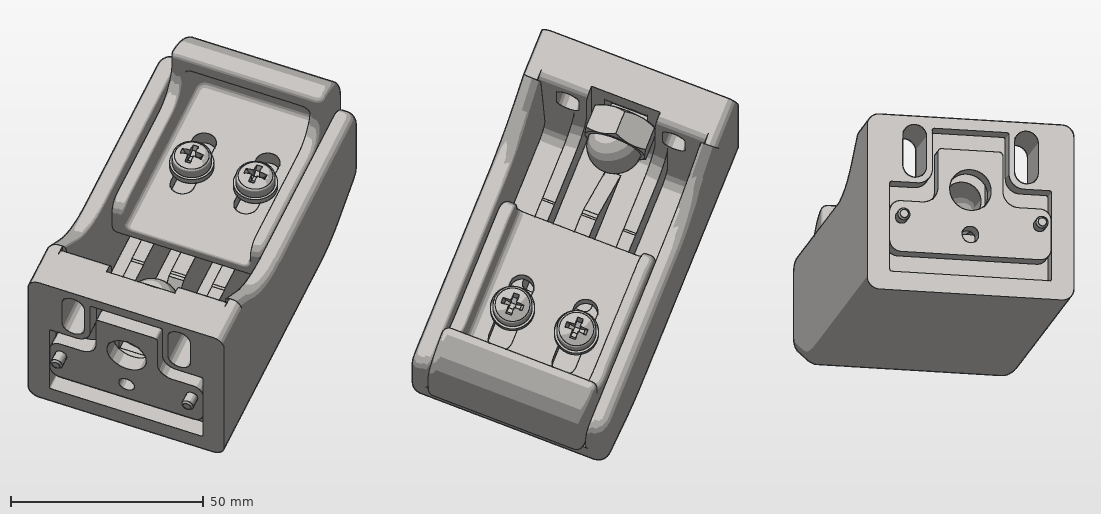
import cadquery as cq
import math


HOUSING_W = 55.0
HOUSING_L = 94.5
FRONT_H = 47.5
SIDE_H = 35.4
FRONT_WALL = 13.7
RAMP_ANGLE = math.radians(37.5)
RAMP_BLEND_R = 30.1
REAR_TOP_R = 5.0
CHIN_ANGLE = math.radians(26)
CHIN_BLEND_R = 30.1
CHIN_BLEND_START = 67.5
CHIN_REAR_R = 5.2
HOUSING_EDGE_R = 3.2

FLOOR_Z = 5.0
DECK_Z = 20.8
DECK_FRONT_Y = 60.5
CAVITY_FLOOR_W = 42.2
CAVITY_DRAFT = math.radians(1.7)
CAVITY_FLOOR_R = 5.0
CAVITY_EDGE_R = 1.0
FRONT_WALL_TOP_R = 2.9

CHANNEL_W = 19.2
CHANNEL_FRONT_Y = 10.0
CHANNEL_FRONT_R = 4.6
CHANNEL_REAR_R = 1.8
SIDE_RIB_W = 3.5
SIDE_RIB_R = 8.2
RIB_STEP_Y = 36.1
RIB_STEP_L = 0.6
RIB_STEP_H = 0.3
CENTER_RIB_W = 4.1
CENTER_RIB_RAMP_Y = 34.8
CENTER_RIB_RAMP_ANGLE = math.radians(44)

POCKET_W = 43.1
POCKET_BOTTOM_Z = 5.0
POCKET_SHOULDER_Z = 29.4
POCKET_TOP_Z = 44.5
POCKET_NECK_W = 20.4
POCKET_DEPTH = 4.6
POCKET_INNER_R = 3.9
POCKET_CORNER_R = 0.6
SIDE_SLOT_X = 14.9
SIDE_SLOT_W = 6.3
SIDE_SLOT_H = 14.3
SIDE_SLOT_Z = 38.1
BOLT_Z = 28.4
BOLT_WINDOW_W = 12.0
BOLT_WINDOW_H = 21.7

PLATE_FRONT_Y = 0.3
PLATE_W = 43.0
PLATE_BOTTOM_Z = 10.6
PLATE_SHOULDER_Z = 24.4
PLATE_TOP_Z = 39.2
PLATE_NECK_W = 17.3
PLATE_SIDE_R = 3.0
PLATE_NECK_CORNER_R = 1.0
PLATE_INNER_R = 4.2
PLATE_BOLT_R = 5.5
PLATE_HOLE_R = 2.2
PLATE_HOLE_Z = 16.4
PIN_X = 18.4
PIN_Z = 19.9
PIN_R = 1.6
PIN_TIP_Y = -3.3
PIN_CHAMFER = 0.5

NUT_FLATS = 16.7
NUT_HEX_L = 7.8
NUT_DOME_R = 7.3
NUT_BORE_R = 4.9

CRADLE_W = 43.2
CRADLE_FRONT_Y = 42.2
CRADLE_REAR_Y = 97.1
CRADLE_FLOOR = 4.1
CRADLE_SIDE_Z = 33.3
CRADLE_FRONT_R = 4.9
CRADLE_BOTTOM_FRONT_R = 2.0
CRADLE_BOTTOM_REAR_R = 4.8
LIP_FRONT_Y = 83.7
LIP_SWEEP_R = 7.9
LIP_TIP_R = 2.0
CROWN_R = 15.6
CROWN_TIP_ANGLE = math.radians(12)
CROWN_BACK_ANGLE = math.radians(50)
CRADLE_EDGE_R = 1.9
HOLLOW_W = 35.0
HOLLOW_REAR_Y = 93.9
HOLLOW_TOP_Z = 42.3
HOLLOW_TOP_R = 9.6
HOLLOW_CORNER_R = 2.2
HOLLOW_EDGE_R = 0.9
SCREW_X = 8.9
SCREW_Y = 67.8
CRADLE_SLOT_W = 6.4
CRADLE_SLOT_L = 21.4
CRADLE_SLOT_Y = 68.8

WASHER_R = 5.77
WASHER_T = 1.6
HEAD_R = 5.1
HEAD_H = 2.8
HEAD_EDGE_R = 0.6
DOME_H = 1.2
SHANK_R = 2.5
SHANK_END_Z = 10.0
CROSS_W = 1.5
CROSS_TOP_L = 6.4
CROSS_MID_L = 4.3
CROSS_MID_DEPTH = 1.8
CROSS_DEPTH = 2.6


def extrude_across(profile, x_min, x_max):
    """Extrude a closed outline drawn in the YZ plane from x_min to x_max."""
    return profile.extrude(x_max - x_min).translate((x_min, 0, 0))


def box(x_min, x_max, y_min, y_max, z_min, z_max):
    return cq.Workplane("XY").box(
        x_max - x_min, y_max - y_min, z_max - z_min, centered=False
    ).translate((x_min, y_min, z_min))


def housing_shell():
    """Solid side outline: high front, ramp down to low sides, sloping chin below the rear."""
    blend_rise = RAMP_BLEND_R * (1 - math.cos(RAMP_ANGLE))
    ramp_drop = FRONT_H - SIDE_H - blend_rise
    ramp_end_y = FRONT_WALL + ramp_drop / math.tan(RAMP_ANGLE)
    low_start_y = ramp_end_y + RAMP_BLEND_R * math.sin(RAMP_ANGLE)
    ramp_mid = (
        low_start_y - RAMP_BLEND_R * math.sin(RAMP_ANGLE / 2),
        SIDE_H + RAMP_BLEND_R * (1 - math.cos(RAMP_ANGLE / 2)),
    )
    chin_start = (
        CHIN_BLEND_START + CHIN_BLEND_R * math.sin(CHIN_ANGLE),
        CHIN_BLEND_R * (1 - math.cos(CHIN_ANGLE)),
    )
    chin_mid = (
        CHIN_BLEND_START + CHIN_BLEND_R * math.sin(CHIN_ANGLE / 2),
        CHIN_BLEND_R * (1 - math.cos(CHIN_ANGLE / 2)),
    )
    chin_end_z = chin_start[1] + (HOUSING_L - chin_start[0]) * math.tan(CHIN_ANGLE)
    outline = (
        cq.Workplane("YZ")
        .moveTo(0, 0)
        .lineTo(0, FRONT_H)
        .lineTo(FRONT_WALL, FRONT_H)
        .lineTo(ramp_end_y, SIDE_H + blend_rise)
        .threePointArc(ramp_mid, (low_start_y, SIDE_H))
        .lineTo(HOUSING_L, SIDE_H)
        .lineTo(HOUSING_L, chin_end_z)
        .lineTo(*chin_start)
        .threePointArc(chin_mid, (CHIN_BLEND_START, 0))
        .close()
    )
    half_w = HOUSING_W / 2
    shell = extrude_across(outline, -half_w, half_w)
    shell = shell.faces(">Y").edges(">Z").fillet(REAR_TOP_R)
    shell = shell.faces(">Y").edges("<Z").fillet(CHIN_REAR_R)
    return shell.faces("<X or >X").edges("not <Y").fillet(HOUSING_EDGE_R)


def cavity_half_width(z):
    return CAVITY_FLOOR_W / 2 + (z - FLOOR_Z) * math.tan(CAVITY_DRAFT)


def cavity(y_min, y_max, z_min):
    """Open-topped cutter whose side walls lean outwards."""
    top = FRONT_H + FLOOR_Z
    low, high = cavity_half_width(z_min), cavity_half_width(top)
    return (
        cq.Workplane("XZ", origin=(0, y_min, 0))
        .polyline([(-low, z_min), (low, z_min), (high, top), (-high, top)])
        .close()
        .extrude(y_min - y_max)
    )


def cavity_rim(side):
    """Selector for the upper inner edges of one side wall, from the front wall to the rear end."""
    rim_x = cavity_half_width(SIDE_H)
    reach = 0.6
    return cq.selectors.BoxSelector(
        (side * (rim_x - reach), FRONT_WALL + reach, DECK_Z + reach),
        (side * (rim_x + reach), HOUSING_L + reach, FRONT_H),
    )


def front_wall_rounding():
    """Cutter that rounds the rear top edge of the front wall between the side walls."""
    r = FRONT_WALL_TOP_R
    half_w = cavity_half_width(FRONT_H) + CAVITY_EDGE_R
    outline = (
        cq.Workplane("YZ")
        .moveTo(FRONT_WALL - r, FRONT_H)
        .radiusArc((FRONT_WALL, FRONT_H - r), r)
        .lineTo(FRONT_WALL, FRONT_H)
        .close()
    )
    return extrude_across(outline, -half_w, half_w)


def channel():
    """Central slot that takes the nut and runs back under the cradle."""
    half_w = CHANNEL_W / 2
    block = box(-half_w, half_w, CHANNEL_FRONT_Y, DECK_FRONT_Y, FLOOR_Z, FRONT_H + FLOOR_Z)
    block = block.edges("<Y and <Z").fillet(CHANNEL_FRONT_R)
    return block.edges("|Z and >Y").fillet(CHANNEL_REAR_R)


def rib_block():
    """Block the channel is cut into, leaving a rib on either side swept up into the front wall."""
    low_z = DECK_Z - RIB_STEP_H
    r = SIDE_RIB_R
    outline = (
        cq.Workplane("YZ")
        .moveTo(FRONT_WALL, FLOOR_Z)
        .lineTo(FRONT_WALL, low_z + r)
        .radiusArc((FRONT_WALL + r, low_z), -r)
        .lineTo(RIB_STEP_Y - RIB_STEP_L / 2, low_z)
        .lineTo(RIB_STEP_Y + RIB_STEP_L / 2, DECK_Z)
        .lineTo(DECK_FRONT_Y, DECK_Z)
        .lineTo(DECK_FRONT_Y, FLOOR_Z)
        .close()
    )
    half_w = CHANNEL_W / 2 + SIDE_RIB_W
    return extrude_across(outline, -half_w, half_w)


def center_rib():
    """Rib along the channel with a sloping nose towards the nut."""
    low_z = DECK_Z - RIB_STEP_H
    nose_y = CENTER_RIB_RAMP_Y - (low_z - FLOOR_Z) / math.tan(CENTER_RIB_RAMP_ANGLE)
    outline = (
        cq.Workplane("YZ")
        .polyline([
            (nose_y, FLOOR_Z),
            (CENTER_RIB_RAMP_Y, low_z),
            (RIB_STEP_Y - RIB_STEP_L / 2, low_z),
            (RIB_STEP_Y + RIB_STEP_L / 2, DECK_Z),
            (DECK_FRONT_Y, DECK_Z),
            (DECK_FRONT_Y, FLOOR_Z),
        ])
        .close()
    )
    return extrude_across(outline, -CENTER_RIB_W / 2, CENTER_RIB_W / 2)


def tee_block(y_min, y_max, width, neck_w, bottom_z, shoulder_z, top_z, side_r, neck_r, inner_r):
    """Upright inverted-tee block with rounded corners."""
    half_w, half_neck = width / 2, neck_w / 2
    block = (
        cq.Workplane("XZ", origin=(0, y_min, 0))
        .polyline([
            (-half_w, bottom_z),
            (half_w, bottom_z),
            (half_w, shoulder_z),
            (half_neck, shoulder_z),
            (half_neck, top_z),
            (-half_neck, top_z),
            (-half_neck, shoulder_z),
            (-half_w, shoulder_z),
        ])
        .close()
        .extrude(y_min - y_max)
    )
    block = block.edges("|Y and (<X or >X)").fillet(side_r)
    block = block.edges("|Y and >Z").fillet(neck_r)
    inner_corners = cq.selectors.BoxSelector(
        (-half_neck - 0.1, y_min - 1, shoulder_z - 0.1),
        (half_neck + 0.1, y_max + 1, shoulder_z + 0.1),
    )
    return block.edges(inner_corners).fillet(inner_r)


def round_rod(x, y_min, y_max, z, r):
    """Round rod along Y."""
    return cq.Workplane("XZ", origin=(x, y_min, z)).circle(r).extrude(y_min - y_max)


def make_housing():
    body = housing_shell()
    full_depth = cavity(FRONT_WALL, DECK_FRONT_Y, FLOOR_Z)
    full_depth = full_depth.edges("<Y and <Z").fillet(CAVITY_FLOOR_R)
    above_deck = cavity(FRONT_WALL + CAVITY_FLOOR_R, HOUSING_L + 1, DECK_Z)
    body = body.cut(full_depth.union(above_deck))

    body = body.edges(cavity_rim(-1) + cavity_rim(1)).fillet(CAVITY_EDGE_R)

    body = body.cut(front_wall_rounding())
    body = body.union(rib_block()).cut(channel()).union(center_rib())

    pocket = tee_block(
        0, POCKET_DEPTH, POCKET_W, POCKET_NECK_W, POCKET_BOTTOM_Z, POCKET_SHOULDER_Z,
        POCKET_TOP_Z, POCKET_CORNER_R, POCKET_CORNER_R, POCKET_INNER_R,
    )
    side_slots = (
        cq.Workplane("XZ")
        .pushPoints([(-SIDE_SLOT_X, SIDE_SLOT_Z), (SIDE_SLOT_X, SIDE_SLOT_Z)])
        .slot2D(SIDE_SLOT_H, SIDE_SLOT_W, 90)
        .extrude(-FRONT_WALL)
    )
    bolt_window = box(
        -BOLT_WINDOW_W / 2, BOLT_WINDOW_W / 2, 0, CHANNEL_FRONT_Y,
        BOLT_Z - BOLT_WINDOW_H / 2, BOLT_Z + BOLT_WINDOW_H / 2,
    )
    body = body.cut(pocket).cut(side_slots).cut(bolt_window)
    for x in (-SCREW_X, SCREW_X):
        body = body.cut(screw_shank(x))
    return body


def make_plate():
    plate = tee_block(
        PLATE_FRONT_Y, POCKET_DEPTH, PLATE_W, PLATE_NECK_W, PLATE_BOTTOM_Z, PLATE_SHOULDER_Z,
        PLATE_TOP_Z, PLATE_SIDE_R, PLATE_NECK_CORNER_R, PLATE_INNER_R,
    )
    plate = plate.cut(round_rod(0, 0, POCKET_DEPTH, BOLT_Z, PLATE_BOLT_R))
    plate = plate.cut(round_rod(0, 0, POCKET_DEPTH, PLATE_HOLE_Z, PLATE_HOLE_R))
    for x in (-PIN_X, PIN_X):
        pin = round_rod(x, PIN_TIP_Y, POCKET_DEPTH, PIN_Z, PIN_R)
        plate = plate.union(pin.faces("<Y").chamfer(PIN_CHAMFER))
    return plate


def make_nut():
    """Domed nut with a blind bore, one corner of the hexagon pointing up."""
    corners = NUT_FLATS / math.cos(math.pi / 6)
    seat = cq.Workplane("XZ", origin=(0, CHANNEL_FRONT_Y, BOLT_Z))
    hexagon = seat.polygon(6, corners).extrude(-NUT_HEX_L)
    hexagon = hexagon.rotate((0, 0, BOLT_Z), (0, 1, BOLT_Z), 90)
    bevel = (corners - NUT_FLATS) / 2
    turned = seat.circle(corners / 2).extrude(-NUT_HEX_L)
    turned = turned.faces("<Y or >Y").chamfer(bevel * math.tan(math.pi / 6), bevel)
    hexagon = hexagon.intersect(turned)
    dome_center = (0, CHANNEL_FRONT_Y + NUT_HEX_L, BOLT_Z)
    dome = cq.Workplane("XY").sphere(NUT_DOME_R).translate(dome_center)
    dome = dome.intersect(box(
        -NUT_DOME_R, NUT_DOME_R, dome_center[1], dome_center[1] + NUT_DOME_R,
        BOLT_Z - NUT_DOME_R, BOLT_Z + NUT_DOME_R,
    ))
    bore = seat.circle(NUT_BORE_R).extrude(-NUT_HEX_L)
    bore = bore.union(cq.Workplane("XY").sphere(NUT_BORE_R).translate(dome_center))
    return hexagon.union(dome).cut(bore)


def arc_point(center, r, angle):
    """Point on a circle in the YZ plane, the angle measured from +Z towards +Y."""
    return center[0] + r * math.sin(angle), center[1] + r * math.cos(angle)


def cradle_outline():
    """Side outline: low front, swept up into a hooked lip at the rear."""
    front_r, tip_r, sweep_r = CRADLE_FRONT_R, LIP_TIP_R, LIP_SWEEP_R
    low_front_r, low_rear_r = CRADLE_BOTTOM_FRONT_R, CRADLE_BOTTOM_REAR_R
    sweep_top = CRADLE_SIDE_Z + sweep_r
    tip_center = (LIP_FRONT_Y + tip_r, FRONT_H - tip_r)
    crown_center = (
        tip_center[0] - (CROWN_R - tip_r) * math.sin(CROWN_TIP_ANGLE),
        tip_center[1] - (CROWN_R - tip_r) * math.cos(CROWN_TIP_ANGLE),
    )
    tip_end = arc_point(tip_center, tip_r, CROWN_TIP_ANGLE)
    shoulder = arc_point(crown_center, CROWN_R, CROWN_BACK_ANGLE)
    back_r = (CRADLE_REAR_Y - shoulder[0]) / (1 - math.sin(CROWN_BACK_ANGLE))
    back_top_z = shoulder[1] - back_r * math.cos(CROWN_BACK_ANGLE)
    return (
        cq.Workplane("YZ")
        .moveTo(CRADLE_FRONT_Y, DECK_Z + low_front_r)
        .lineTo(CRADLE_FRONT_Y, CRADLE_SIDE_Z - front_r)
        .radiusArc((CRADLE_FRONT_Y + front_r, CRADLE_SIDE_Z), front_r)
        .lineTo(LIP_FRONT_Y - sweep_r, CRADLE_SIDE_Z)
        .radiusArc((LIP_FRONT_Y, sweep_top), -sweep_r)
        .lineTo(LIP_FRONT_Y, FRONT_H - tip_r)
        .radiusArc(tip_end, tip_r)
        .radiusArc(shoulder, CROWN_R)
        .radiusArc((CRADLE_REAR_Y, back_top_z), back_r)
        .lineTo(CRADLE_REAR_Y, DECK_Z + low_rear_r)
        .radiusArc((CRADLE_REAR_Y - low_rear_r, DECK_Z), low_rear_r)
        .lineTo(CRADLE_FRONT_Y + low_front_r, DECK_Z)
        .radiusArc((CRADLE_FRONT_Y, DECK_Z + low_front_r), low_front_r)
        .close()
    )


def cradle_hollow():
    """Cutter for the tray, reaching back under the lip."""
    floor_z = DECK_Z + CRADLE_FLOOR
    open_y = CRADLE_FRONT_Y - 10
    r = HOLLOW_TOP_R
    outline = (
        cq.Workplane("YZ")
        .moveTo(open_y, floor_z)
        .lineTo(HOLLOW_REAR_Y, floor_z)
        .lineTo(HOLLOW_REAR_Y, HOLLOW_TOP_Z - r)
        .radiusArc((HOLLOW_REAR_Y - r, HOLLOW_TOP_Z), -r)
        .lineTo(open_y, HOLLOW_TOP_Z)
        .close()
    )
    block = extrude_across(outline, -HOLLOW_W / 2, HOLLOW_W / 2)
    block = block.faces(">Y").edges("<Z").fillet(HOLLOW_CORNER_R)
    return block.faces("<X or >X").edges("not <Y").fillet(HOLLOW_CORNER_R)


def make_cradle():
    body = extrude_across(cradle_outline(), -CRADLE_W / 2, CRADLE_W / 2)
    body = body.faces("<X or >X").edges().fillet(CRADLE_EDGE_R)
    body = body.cut(cradle_hollow())
    floor_front = cq.selectors.NearestToPointSelector((0, CRADLE_FRONT_Y, DECK_Z + CRADLE_FLOOR))
    body = body.edges(floor_front).fillet(HOLLOW_EDGE_R)
    slots = (
        cq.Workplane("XY", origin=(0, CRADLE_SLOT_Y, DECK_Z))
        .pushPoints([(-SCREW_X, 0), (SCREW_X, 0)])
        .slot2D(CRADLE_SLOT_L, CRADLE_SLOT_W, 90)
        .extrude(CRADLE_FLOOR)
    )
    return body.cut(slots)


def screw_shank(x):
    length = DECK_Z + CRADLE_FLOOR - SHANK_END_Z
    return cq.Workplane("XY", origin=(x, SCREW_Y, SHANK_END_Z)).circle(SHANK_R).extrude(length)


def make_screw(x):
    """Domed cross-recess screw with its washer."""
    seat_z = DECK_Z + CRADLE_FLOOR
    head_z = seat_z + WASHER_T
    dome_z = head_z + HEAD_H
    top_z = dome_z + DOME_H
    rim_r = HEAD_R - HEAD_EDGE_R
    dome_sphere_r = (rim_r ** 2 + DOME_H ** 2) / (2 * DOME_H)
    turned = (
        cq.Workplane("XZ")
        .moveTo(0, seat_z)
        .lineTo(WASHER_R, seat_z)
        .lineTo(WASHER_R, head_z)
        .lineTo(HEAD_R, head_z)
        .lineTo(HEAD_R, dome_z - HEAD_EDGE_R)
        .radiusArc((rim_r, dome_z), -HEAD_EDGE_R)
        .radiusArc((0, top_z), -dome_sphere_r)
        .close()
        .revolve(360, (0, 0, 0), (0, 1, 0))
    )
    arm = (
        cq.Workplane("XZ", origin=(0, CROSS_W / 2, 0))
        .polyline([
            (-CROSS_TOP_L / 2, top_z),
            (CROSS_TOP_L / 2, top_z),
            (CROSS_MID_L / 2, top_z - CROSS_MID_DEPTH),
            (CROSS_W / 2, top_z - CROSS_DEPTH),
            (-CROSS_W / 2, top_z - CROSS_DEPTH),
            (-CROSS_MID_L / 2, top_z - CROSS_MID_DEPTH),
        ])
        .close()
        .extrude(CROSS_W)
    )
    cross = arm.union(arm.rotate((0, 0, 0), (0, 0, 1), 90))
    return turned.cut(cross).translate((x, SCREW_Y, 0)).union(screw_shank(x))


housing = make_housing()
plate = make_plate()
nut = make_nut()
cradle = make_cradle()
screws = [make_screw(x) for x in (-SCREW_X, SCREW_X)]

result = cq.Compound.makeCompound(
    [housing.val(), plate.val(), nut.val(), cradle.val()] + [screw.val() for screw in screws]
)